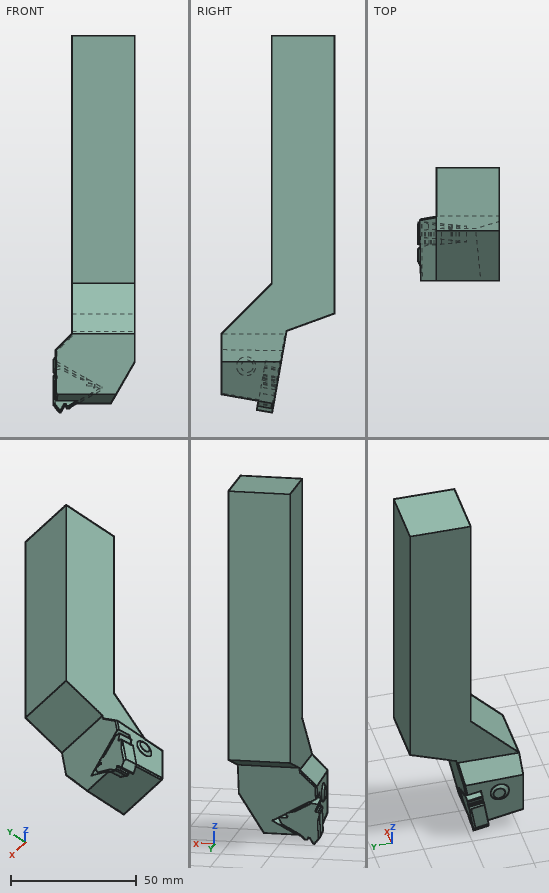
import cadquery as cq
import math

SHANK_SIDE = 25.0
TOTAL_HEIGHT = 149.7
SHANK_FRONT_BOTTOM = 51.3
SHANK_BACK_BOTTOM = 39.4
UNDERSIDE_ANGLE = math.radians(20)

HEAD_FORWARD = 19.9
HEAD_LEAN = math.radians(10)
HEAD_CORNER_Y = 0.9
HEAD_CORNER_Z = 3.6
HEAD_TOP = SHANK_FRONT_BOTTOM - HEAD_FORWARD
HEAD_LEFT_FRONT = 6.3
HEAD_LEFT_BACK = 6.7
TAPER_TOP = 20.2
TAPER_ANGLE = math.radians(30)
EDGE_CHAMFER = 0.6

SCREW_Y = -10.2
SCREW_END_SHIFT = 0.5
SCREW_Z = 18.5
SCREW_BASE_DIAMETER = 8.1
SCREW_END_DIAMETER = 4.8
SCREW_END_X = -7.3

INSCRIBED_DIAMETER = 12.7
INSERT_INRADIUS = INSCRIBED_DIAMETER / 2
INSERT_THICKNESS = 6.3
INSERT_LEFT = -7.3
INSERT_CENTER_X = INSERT_LEFT + INSERT_INRADIUS
TOOTH_REACH = 9.3
CORNER_COUNT = 3
INSERT_CHAMFER = 0.7
INSERT_CENTER_Z = TOOTH_REACH * math.cos(HEAD_LEAN)


def back_y(z):
    """Y of the leaning head back at a height."""
    return HEAD_CORNER_Y + (z - HEAD_CORNER_Z) * math.tan(HEAD_LEAN)


def make_holder_blank():
    """Side outline in YZ intersected with the front outline in XZ."""
    back_slope = math.tan(HEAD_LEAN)
    under_slope = math.tan(UNDERSIDE_ANGLE)
    back_at_underside = back_y(SHANK_BACK_BOTTOM)
    drop = (SHANK_SIDE - back_at_underside) * under_slope / (1 - under_slope * back_slope)
    inner_corner = (back_at_underside - drop * back_slope, SHANK_BACK_BOTTOM - drop)
    front_bottom = HEAD_CORNER_Z + (HEAD_FORWARD + HEAD_CORNER_Y) * back_slope

    side = (
        cq.Workplane("YZ", origin=(-HEAD_LEFT_BACK, 0, 0))
        .polyline([
            (SHANK_SIDE, TOTAL_HEIGHT),
            (0, TOTAL_HEIGHT),
            (0, SHANK_FRONT_BOTTOM),
            (-HEAD_FORWARD, HEAD_TOP),
            (-HEAD_FORWARD, front_bottom),
            (HEAD_CORNER_Y, HEAD_CORNER_Z),
            inner_corner,
            (SHANK_SIDE, SHANK_BACK_BOTTOM),
        ])
        .close()
        .extrude(HEAD_LEFT_BACK + SHANK_SIDE)
    )
    front = (
        cq.Workplane("XZ", origin=(0, SHANK_SIDE, 0))
        .polyline([
            (0, TOTAL_HEIGHT),
            (SHANK_SIDE, TOTAL_HEIGHT),
            (SHANK_SIDE, TAPER_TOP),
            (SHANK_SIDE - TAPER_TOP * math.tan(TAPER_ANGLE), 0),
            (-HEAD_LEFT_BACK, 0),
            (-HEAD_LEFT_BACK, HEAD_TOP - HEAD_LEFT_BACK),
            (0, HEAD_TOP),
        ])
        .close()
        .extrude(SHANK_SIDE + HEAD_FORWARD)
    )
    return side.intersect(front)


def trim_left_face(holder):
    """Turn the left face of the head slightly about Z."""
    wedge = (
        cq.Workplane("XY")
        .polyline([
            (-HEAD_LEFT_BACK, -HEAD_FORWARD),
            (-HEAD_LEFT_FRONT, -HEAD_FORWARD),
            (-HEAD_LEFT_BACK, back_y(HEAD_TOP)),
        ])
        .close()
        .extrude(HEAD_TOP)
    )
    return holder.cut(wedge)


def chamfer_left_edges(holder):
    """Break the bottom and back edges of the left face and the back edge of the slope above it."""
    facet_bottom = HEAD_TOP - HEAD_LEFT_BACK
    back_z = (HEAD_CORNER_Z + facet_bottom) / 2
    slope_z = (facet_bottom + HEAD_TOP) / 2
    bottom_y = (HEAD_CORNER_Y - HEAD_FORWARD) / 2
    bottom_z = HEAD_CORNER_Z + (HEAD_CORNER_Y - bottom_y) * math.tan(HEAD_LEAN)
    edges = []
    for point in [
        (-HEAD_LEFT_BACK, back_y(back_z), back_z),
        (-HEAD_LEFT_BACK / 2, back_y(slope_z), slope_z),
        (-HEAD_LEFT_BACK, bottom_y, bottom_z),
    ]:
        edges.append(holder.edges(cq.NearestToPointSelector(point)).val())
    return holder.newObject(edges).chamfer(EDGE_CHAMFER)


def insert_plane():
    """Plane of the leaning back face, centred on the insert and looking forward."""
    forward = (0, -math.cos(HEAD_LEAN), math.sin(HEAD_LEAN))
    center = (INSERT_CENTER_X, back_y(INSERT_CENTER_Z), INSERT_CENTER_Z)
    return cq.Plane(origin=center, xDir=(1, 0, 0), normal=forward)


def make_pocket():
    """Full triangle with sharp corners, its left side upright."""
    circumscribed_diameter = 2 * INSCRIBED_DIAMETER
    return (
        cq.Workplane(insert_plane())
        .polygon(CORNER_COUNT, circumscribed_diameter)
        .extrude(INSERT_THICKNESS)
    )


def make_screw_end():
    """Cone whose base is buried just inside the left face of the head."""
    base_x = -HEAD_LEFT_FRONT
    return (
        cq.Workplane("YZ", origin=(base_x, SCREW_Y, SCREW_Z))
        .circle(SCREW_BASE_DIAMETER / 2)
        .workplane(offset=SCREW_END_X - base_x)
        .center(SCREW_END_SHIFT, 0)
        .circle(SCREW_END_DIAMETER / 2)
        .loft()
    )


def make_holder(insert):
    """Shank and head in one piece, with the insert pocket and the screw end."""
    holder = chamfer_left_edges(trim_left_face(make_holder_blank()))
    return holder.cut(make_pocket()).cut(insert).union(make_screw_end())


def turned(point, angle):
    """Rotate a point of the insert outline about the insert centre."""
    x, y = point
    return (x * math.cos(angle) - y * math.sin(angle), x * math.sin(angle) + y * math.cos(angle))


def make_insert():
    """Triangle whose three corners each end in a thread tooth and a small crest tooth."""
    side_end_y = -6.3
    tooth_x = -3.7
    half_tip = 0.22
    valley_left = -2.1
    valley_right = -1.5
    valley_y = -6.7
    crest_left = -1.12
    crest_right = -0.1
    crest_y = -7.6
    runout_x = 0.3
    side_rise = math.pi / 6
    runout_y = runout_x * math.tan(side_rise) - INSERT_INRADIUS / math.cos(side_rise)
    corner = [
        (-INSERT_INRADIUS, side_end_y),
        (tooth_x - half_tip, -TOOTH_REACH),
        (tooth_x + half_tip, -TOOTH_REACH),
        (valley_left, valley_y),
        (valley_right, valley_y),
        (crest_left, crest_y),
        (crest_right, crest_y),
        (runout_x, runout_y),
    ]
    outline = []
    for index in range(CORNER_COUNT):
        angle = 2 * math.pi * index / CORNER_COUNT
        outline += [turned(point, angle) for point in corner]
    insert = cq.Workplane(insert_plane()).polyline(outline).close().extrude(INSERT_THICKNESS)
    back_edges = insert.faces(cq.NearestToPointSelector(insert_plane().origin.toTuple())).edges()
    long_edges = back_edges.filter(lambda edge: edge.Length() > INSERT_INRADIUS)
    return long_edges.chamfer(INSERT_CHAMFER)


insert = make_insert()
holder = make_holder(insert)
result = cq.Compound.makeCompound([holder.solids().val(), insert.solids().val()])